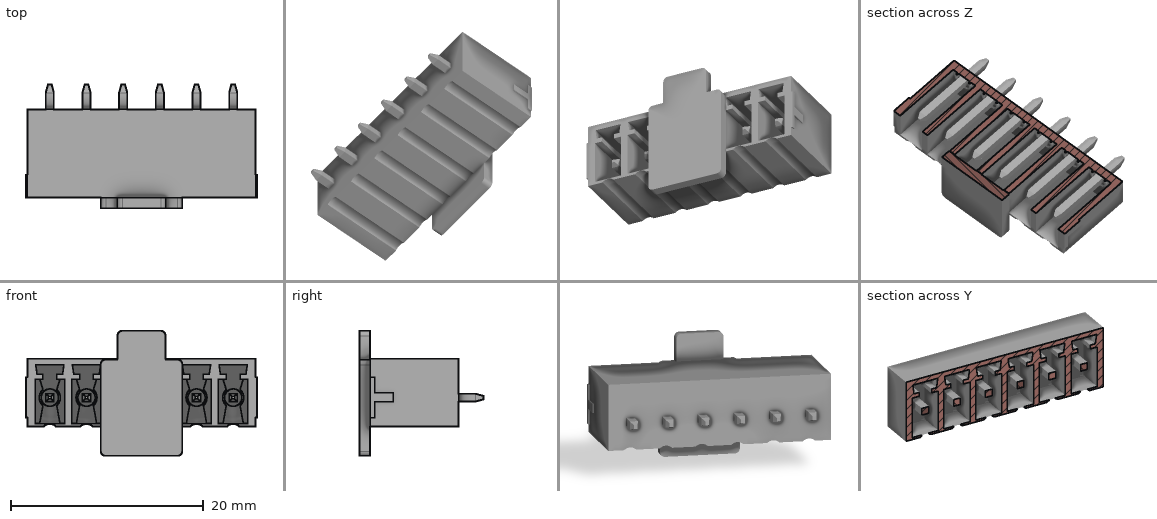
import cadquery as cq


overall_width = 24.05
housing_width = 23.71
housing_depth = 9.19
housing_height = 7.05

pole_count = 6
pole_span = 19.05
pole_pitch = pole_span / (pole_count - 1)
pole_positions = [i * pole_pitch - pole_span / 2 for i in range(pole_count)]
pin_height = 3.0

cavity_depth = 7.94
chamber_floor = 0.3
chamber_top = 4.9
chamber_width = 3.08
neck_top = 5.4
neck_width = 1.45
keyway_top = 6.42
keyway_bottom_width = 2.65
keyway_top_width = 2.93

pocket_depth = 0.25
pocket_rim = 0.07
web_waist_width = 1.45
web_waist_offset = 0.85
web_end_width = 2.1
hub_diameter = 2.2
bore_diameter = 1.8
bore_depth = 0.25

groove_diameter = 1.8
groove_height = 0.26

rib_thickness = (overall_width - housing_width) / 2
rib_bar_bottom = 0.94
rib_bar_height = 4.2
rib_bar_depth = 0.5
rib_arm_bottom = 2.57
rib_arm_height = 0.95
rib_depth = 2.4

pin_width = 0.87
pin_thickness = 0.85
pin_front = 1.2
pin_tail = 2.6
tail_tip_length = 0.87
front_tip_length = 0.6
front_tip_size = 0.3
tail_tip_size = 0.38

plate_thickness = 1.1
plate_width = 8.5
plate_bottom = -3.05
plate_shoulder = 6.95
tab_width = 5.0
tab_height = 3.0
corner_radius = 0.5


def front_plane(y):
    """XZ sketch plane at depth y; positive extrusion goes toward +Y."""
    return cq.Workplane(cq.Plane(origin=(0, y, 0), xDir=(-1, 0, 0), normal=(0, 1, 0)))


def block(x_center, width, y_start, depth, z_start, height):
    """Box centered on x_center, reaching back from y_start and up from z_start."""
    return (
        cq.Workplane("XY")
        .box(width, depth, height, centered=(True, False, False))
        .translate((x_center, y_start, z_start))
    )


def cylinder(z_center, diameter, y_start, depth):
    """Cylinder along Y on the pole middle line."""
    return front_plane(y_start).center(0, z_center).circle(diameter / 2).extrude(depth)


def cavity():
    """Everything removed from the front for one pole, centered on X = 0."""
    half_profile = [
        (chamber_width / 2, chamber_floor),
        (chamber_width / 2, chamber_top),
        (neck_width / 2, chamber_top),
        (neck_width / 2, neck_top),
        (keyway_bottom_width / 2, neck_top),
        (keyway_top_width / 2, keyway_top),
    ]
    mirrored = [(-x, z) for x, z in reversed(half_profile)]
    opening = front_plane(0).polyline(half_profile + mirrored).close().extrude(cavity_depth)
    bore = cylinder(pin_height, bore_diameter, cavity_depth, bore_depth)
    return opening.union(side_pockets()).union(bore)


def side_pockets():
    """Two pockets in the cavity end, beside the waisted webs and the round hub."""
    pocket_floor = chamber_floor + pocket_rim
    pockets = block(0, chamber_width, cavity_depth, pocket_depth, pocket_floor, chamber_top - pocket_floor)
    half_web = [
        (web_end_width / 2, pocket_floor),
        (web_waist_width / 2, pin_height - web_waist_offset),
        (web_waist_width / 2, pin_height + web_waist_offset),
        (web_end_width / 2, chamber_top),
    ]
    mirrored = [(-x, z) for x, z in reversed(half_web)]
    webs = front_plane(cavity_depth).polyline(half_web + mirrored).close().extrude(pocket_depth)
    hub = cylinder(pin_height, hub_diameter, cavity_depth, pocket_depth)
    return pockets.cut(webs).cut(hub)


def end_rib(side):
    """T-shaped rib on the end face at side = -1 or +1."""
    x_center = side * (housing_width + rib_thickness) / 2
    bar = block(x_center, rib_thickness, 0, rib_bar_depth, rib_bar_bottom, rib_bar_height)
    arm = block(x_center, rib_thickness, 0, rib_depth, rib_arm_bottom, rib_arm_height)
    return bar.union(arm)


def pin(x_center):
    """Square pin with a pyramid taper at both ends."""
    shank_front = pin_front + front_tip_length
    shank_back = housing_depth + pin_tail - tail_tip_length
    shank = (
        front_plane(shank_front).center(0, pin_height)
        .rect(pin_width, pin_thickness).extrude(shank_back - shank_front)
    )
    front_tip = (
        front_plane(pin_front).center(0, pin_height).rect(front_tip_size, front_tip_size)
        .workplane(offset=front_tip_length).rect(pin_width, pin_thickness).loft()
    )
    tail_tip = (
        front_plane(shank_back).center(0, pin_height).rect(pin_width, pin_thickness)
        .workplane(offset=tail_tip_length).rect(tail_tip_size, tail_tip_size).loft()
    )
    return shank.union(front_tip).union(tail_tip).translate((x_center, 0, 0))


def make_housing(pins):
    """Housing with its ribs, cavities, underside grooves and a fitting hole for each pin."""
    body = block(0, housing_width, 0, housing_depth, 0, housing_height)
    for side in (-1, 1):
        body = body.union(end_rib(side))
    pole_cavity = cavity()
    groove = cylinder(groove_height - groove_diameter / 2, groove_diameter, 0, housing_depth)
    for x in pole_positions:
        body = body.cut(pole_cavity.translate((x, 0, 0)))
        body = body.cut(groove.translate((x, 0, 0)))
    for contact in pins:
        body = body.cut(contact)
    return body


def make_cover_plate():
    """Plate on the front face with a narrower tab on top and rounded outer corners."""
    lower = block(0, plate_width, -plate_thickness, plate_thickness, plate_bottom, plate_shoulder - plate_bottom)
    tab = block(0, tab_width, -plate_thickness, plate_thickness, plate_shoulder, tab_height)
    lower = lower.edges("|Y").fillet(corner_radius)
    tab = tab.edges("|Y and >Z").fillet(corner_radius)
    return lower.union(tab)


pins = [pin(x) for x in pole_positions]
housing = make_housing(pins)
cover_plate = make_cover_plate()

result = cq.Compound.makeCompound([housing.val(), cover_plate.val(), *[contact.val() for contact in pins]])